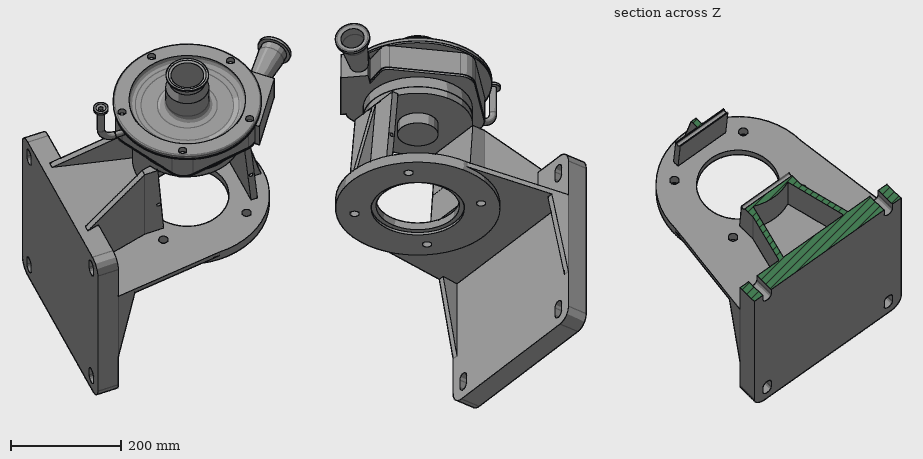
import cadquery as cq
import math


wall_width = 350.0
wall_height = 369.5
wall_thickness = 40.5
wall_front = -250.0
wall_back = wall_front + wall_thickness
wall_corner_radius = 25.5
slot_length = 35.5
slot_width = 19.0
slot_spacing_x = 288.0
slot_spacing_z = 298.5

base_top = 270.0
base_thickness = 10.0
base_bottom = base_top - base_thickness
ring_bottom = 249.5
ring_radius = 149.0
base_hole_radius = 75.5
base_recess_radius = 84.5
base_recess_depth = 5.5
base_bolt_circle_radius = 116.0
base_bolt_radius = 8.5
base_bolt_count = 4
base_bolt_angle = 45
gusset_thickness = 12.0
gusset_length = 34.5
gusset_bottom = 102.0

pillar_top = 435.0
pillar_half_width = 56.5
back_inner_top = 87.0
back_inner_bottom = 101.5
back_thickness = 12.5
back_rib_foot = 143.0
front_inner_top = -82.0
front_inner_bottom = -70.5
rib_start = -108.0
rib_end = -234.5
rib_width = 11.5
rib_splay = 32.0
rib_slope_end = -233.5
rib_shelf_thickness = 11.5
pin_radius = 3.5
pin_height = 339.5
back_pin_y = 101.5
front_pin_y = -80.0

hub_radius = 99.0
collar_radius = 99.5
collar_top = 449.0
shaft_radius = 37.0
shaft_bottom = 412.5
casing_bottom = 471.0
flange_bottom = 522.0
flange_top = 533.5
flange_radius = 134.5
flange_edge_round = 2.5
cover_bottom = 526.0
casing_rim_radius = 134.0
casing_corner_radius = 32.5
spout_corner_radius = 15.0
spout_corner = 1
casing_flat_distance = 114.0
casing_sides = 5
casing_step = 360 / casing_sides
casing_floor_thickness = 4.0
casing_floor_inset = 1.0
first_flat_angle = 9
first_bolt_angle = 45
casing_bolt_circle_radius = 122.0
casing_bolt_radius = 7.0
drill_tip_depth = 4.0

dish_floor = 518.0
dish_floor_radius = 84.0
dish_step_radius = 94.0
dish_step_height = 2.0
dish_rim_radius = 105.5
dish_wall_mid_radius = 102.0
dish_wall_mid_height = 524.0
inlet_radius = 39.0
inlet_flare_radius = 54.0
inlet_shoulder = 568.0
neck_radius = 32.5
neck_bottom = 584.5
ferrule_radius = 38.5
ferrule_edge = 600.0
ferrule_bottom = 596.5
inlet_top = 603.0
inlet_bore_radius = 29.5
inlet_bore_bottom = 476.5
inlet_mouth_radius = 34.5

outlet_angle = 135
outlet_offset = 90.5
outlet_height = 497.5
spout_face = 115.0
spout_inner_offset = 74.0
spout_outer_offset = 123.5
spout_tail_x = 101.5
spout_tail_y = 99.0
outlet_small_radius = 17.5
outlet_large_radius = 25.0
outlet_taper_end = 180.0
outlet_flange_start = 195.0
outlet_end = 201.0
outlet_flange_radius = 31.5
outlet_wall = 3.5
outlet_mouth_radius = 28.5
mouth_depth = 2.0

drain_height = 500.5
drain_y = -170.0
drain_bend_radius = 28.0
drain_radius = 6.5
drain_bore_radius = 4.0
drain_mouth_radius = 9.0
drain_spigot_radius = 5.5
drain_spigot_inner_y = -120.5
drain_flange_radius = 13.0
drain_flange_bottom = 583.0
drain_top = 588.0


def cylinder(radius, bottom, top):
    return cq.Workplane("XY").workplane(offset=bottom).circle(radius).extrude(top - bottom)


def side_prism(points, x_min, x_max):
    """Extrude a (Y, Z) outline along X."""
    return cq.Workplane("YZ").workplane(offset=x_min).polyline(points).close().extrude(x_max - x_min)


def polar(radius, angle):
    return (radius * math.cos(math.radians(angle)), radius * math.sin(math.radians(angle)))


def make_wall_plate():
    plate = (
        cq.Workplane("XY")
        .box(wall_width, wall_thickness, wall_height, centered=(True, False, False))
        .translate((0, wall_front, 0))
        .edges("|Y")
        .fillet(wall_corner_radius)
    )
    slots = (
        cq.Workplane("XZ", origin=(0, wall_back, wall_height / 2))
        .rarray(slot_spacing_x, slot_spacing_z, 2, 2)
        .slot2D(slot_length, slot_width, 90)
        .extrude(wall_thickness)
    )
    return plate.cut(slots)


def make_base():
    half_width = wall_width / 2
    web = (
        cq.Workplane("XY")
        .workplane(offset=base_bottom)
        .polyline([(-ring_radius, 0), (ring_radius, 0), (half_width, wall_back), (-half_width, wall_back)])
        .close()
        .extrude(base_thickness)
    )
    base = cylinder(ring_radius, ring_bottom, base_top).union(web)
    base = base.cut(cylinder(base_hole_radius, ring_bottom, base_top))
    recess_top = ring_bottom + base_recess_depth
    base = base.cut(cylinder(base_recess_radius, ring_bottom, recess_top))
    for bolt in range(base_bolt_count):
        x, y = polar(base_bolt_circle_radius, base_bolt_angle + 360 / base_bolt_count * bolt)
        base = base.cut(cylinder(base_bolt_radius, ring_bottom, base_top).translate((x, y, 0)))

    gusset_tip = wall_back + gusset_length
    gusset_profile = side_prism(
        [(wall_back, base_bottom), (gusset_tip, base_bottom), (wall_back, gusset_bottom)],
        0,
        half_width,
    )
    edge_slope = (half_width - ring_radius) / -wall_back
    tip_half_width = half_width - edge_slope * gusset_length
    gusset_plan = (
        cq.Workplane("XY")
        .polyline(
            [
                (half_width, wall_back),
                (tip_half_width, gusset_tip),
                (tip_half_width - gusset_thickness, gusset_tip),
                (half_width - gusset_thickness, wall_back),
            ]
        )
        .close()
        .extrude(base_bottom)
    )
    gusset = gusset_profile.intersect(gusset_plan)
    return base.union(gusset).union(gusset.mirror("YZ"))


def make_back_pillar():
    leaning_plate = side_prism(
        [
            (back_inner_top, pillar_top),
            (back_inner_top + back_thickness, pillar_top),
            (back_inner_bottom + back_thickness, base_top),
            (back_inner_bottom, base_top),
        ],
        -pillar_half_width,
        pillar_half_width,
    )
    rib = side_prism(
        [
            (back_inner_top + back_thickness, pillar_top),
            (back_rib_foot, base_top),
            (back_inner_bottom, base_top),
            (back_inner_top, pillar_top),
        ],
        -rib_width / 2,
        rib_width / 2,
    )
    return leaning_plate.union(rib)


def make_front_pillar():
    inner_start = pillar_half_width - rib_width
    splay_slope = rib_splay / (rib_start - rib_end)
    inner_root = inner_start - splay_slope * (front_inner_bottom - rib_start)
    cheek = (
        cq.Workplane("XY")
        .workplane(offset=base_top)
        .polyline(
            [
                (pillar_half_width, front_inner_bottom),
                (pillar_half_width, rib_start),
                (pillar_half_width + rib_splay, rib_end),
                (inner_start + rib_splay, rib_end),
                (inner_root, front_inner_bottom),
            ]
        )
        .close()
        .extrude(pillar_top - base_top)
    )
    width = 2 * pillar_half_width
    round_wall = cylinder(collar_radius, base_top, pillar_top).intersect(
        cq.Workplane("XY").box(width, 2 * collar_radius, 2 * pillar_top)
    )
    shelf_half_width = inner_start + splay_slope * (rib_start - wall_back)
    shelf = (
        cq.Workplane("XY")
        .workplane(offset=wall_height - rib_shelf_thickness)
        .polyline(
            [
                (-inner_root, front_inner_bottom),
                (inner_root, front_inner_bottom),
                (shelf_half_width, wall_back),
                (-shelf_half_width, wall_back),
            ]
        )
        .close()
        .extrude(rib_shelf_thickness)
    )
    side_envelope = side_prism(
        [
            (front_inner_bottom, base_top),
            (front_inner_top, pillar_top),
            (rib_start, pillar_top),
            (rib_slope_end, wall_height),
            (rib_slope_end, base_top),
        ],
        -wall_width / 2,
        wall_width / 2,
    )
    pillar = round_wall.union(shelf).union(cheek).union(cheek.mirror("YZ"))
    return pillar.intersect(side_envelope)


def make_pin_holes():
    return (
        cq.Workplane("YZ", origin=(-wall_width / 2, 0, pin_height))
        .pushPoints([(back_pin_y, 0), (front_pin_y, 0)])
        .circle(pin_radius)
        .extrude(wall_width)
    )


def casing_pentagon(flat_distance, bottom, top):
    """Five-sided prism with rounded corners."""
    corner_reach = flat_distance / math.cos(math.pi / casing_sides)
    corners = [
        polar(corner_reach, first_flat_angle + casing_step * (side + 0.5))
        for side in range(casing_sides)
    ]
    prism = cq.Workplane("XY").workplane(offset=bottom)
    prism = prism.polyline(corners).close().extrude(top - bottom)
    corner_x, corner_y = corners[spout_corner]
    tight_edge = cq.selectors.NearestToPointSelector((corner_x, corner_y, (bottom + top) / 2))
    other_edges = cq.selectors.ParallelDirSelector(cq.Vector(0, 0, 1)) - tight_edge
    prism = prism.edges(other_edges).fillet(casing_corner_radius)
    return prism.edges(tight_edge).fillet(spout_corner_radius)


def make_bolt_hole(x, y):
    """Blind drilled hole in the cover rim, with a conical tip."""
    return (
        cq.Workplane("XZ")
        .polyline(
            [
                (0, flange_top),
                (casing_bolt_radius, flange_top),
                (casing_bolt_radius, flange_bottom),
                (0, flange_bottom - drill_tip_depth),
            ]
        )
        .close()
        .revolve(360, (0, 0, 0), (0, 1, 0))
        .translate((x, y, 0))
    )


def make_casing():
    floor_top = casing_bottom + casing_floor_thickness
    casing = casing_pentagon(casing_flat_distance, floor_top, flange_bottom)
    floor = casing_pentagon(casing_flat_distance - casing_floor_inset, casing_bottom, floor_top)
    rim = cylinder(casing_rim_radius, flange_bottom, cover_bottom)
    cover = cylinder(flange_radius, cover_bottom, flange_top).faces(">Z").edges().fillet(flange_edge_round)
    casing = casing.union(floor).union(rim).union(cover)
    for side in range(casing_sides):
        x, y = polar(casing_bolt_circle_radius, first_bolt_angle + casing_step * side)
        casing = casing.cut(make_bolt_hole(x, y))

    hub = cylinder(hub_radius, collar_top, casing_bottom)
    collar = cylinder(collar_radius, pillar_top, collar_top)
    shaft = cylinder(shaft_radius, shaft_bottom, pillar_top)
    return casing.union(hub).union(collar).union(shaft)


def make_dish():
    """Ring-shaped hollow in the cover, with a rounded outer wall."""
    return (
        cq.Workplane("XZ")
        .moveTo(0, flange_top)
        .lineTo(0, dish_floor)
        .lineTo(dish_floor_radius, dish_floor)
        .lineTo(dish_step_radius, dish_floor + dish_step_height)
        .threePointArc((dish_wall_mid_radius, dish_wall_mid_height), (dish_rim_radius, flange_top))
        .close()
        .revolve(360, (0, 0, 0), (0, 1, 0))
    )


def make_inlet():
    flare = inlet_flare_radius - inlet_radius
    flare_mid = flare * (1 - math.sqrt(0.5))
    return (
        cq.Workplane("XZ")
        .moveTo(0, casing_bottom)
        .lineTo(inlet_flare_radius, casing_bottom)
        .lineTo(inlet_flare_radius, dish_floor)
        .threePointArc(
            (inlet_radius + flare_mid, dish_floor + flare_mid),
            (inlet_radius, dish_floor + flare),
        )
        .lineTo(inlet_radius, inlet_shoulder)
        .lineTo(neck_radius, neck_bottom)
        .lineTo(neck_radius, ferrule_bottom)
        .lineTo(ferrule_radius, ferrule_edge)
        .lineTo(ferrule_radius, inlet_top)
        .lineTo(0, inlet_top)
        .close()
        .revolve(360, (0, 0, 0), (0, 1, 0))
    )


def make_mouth(bore_radius, mouth_radius, top):
    """Conical widening at the upper end of a vertical bore."""
    return (
        cq.Workplane("XY")
        .workplane(offset=top - mouth_depth)
        .circle(bore_radius)
        .workplane(offset=mouth_depth)
        .circle(mouth_radius)
        .loft()
    )


def outlet_point(along, offset):
    """Plan position given along the outlet direction and sideways from the pump axis."""
    along_x, along_y = polar(along, outlet_angle)
    side_x, side_y = polar(offset, outlet_angle - 90)
    return (along_x + side_x, along_y + side_y)


def make_spout():
    return (
        cq.Workplane("XY")
        .workplane(offset=casing_bottom)
        .polyline(
            [
                outlet_point(0, spout_inner_offset),
                outlet_point(spout_face, spout_inner_offset),
                outlet_point(spout_face, spout_outer_offset),
                (spout_tail_x, spout_tail_y),
            ]
        )
        .close()
        .extrude(flange_bottom - casing_bottom)
    )


def outlet_revolve(profile):
    """Turn a (radius, distance along the outlet) outline about the outlet axis."""
    axis_x, axis_y = outlet_point(0, outlet_offset)
    normal_x, normal_y = polar(1, outlet_angle + 90)
    plane = cq.Plane(
        origin=(axis_x, axis_y, outlet_height),
        xDir=(0, 0, 1),
        normal=(normal_x, normal_y, 0),
    )
    return cq.Workplane(plane).polyline(profile).close().revolve(360, (0, 0, 0), (0, 1, 0))


def make_outlet_pipe():
    return outlet_revolve(
        [
            (0, spout_face),
            (outlet_small_radius, spout_face),
            (outlet_large_radius, outlet_taper_end),
            (outlet_large_radius, outlet_flange_start),
            (outlet_flange_radius, outlet_flange_start),
            (outlet_flange_radius, outlet_end),
            (0, outlet_end),
        ]
    )


def make_outlet_bore():
    return outlet_revolve(
        [
            (0, spout_face),
            (outlet_small_radius - outlet_wall, spout_face),
            (outlet_large_radius - outlet_wall, outlet_taper_end),
            (outlet_large_radius - outlet_wall, outlet_end - mouth_depth),
            (outlet_mouth_radius, outlet_end),
            (0, outlet_end),
        ]
    )


def make_drain():
    bend_start_y = drain_y + drain_bend_radius
    bend_mid = drain_bend_radius * math.sqrt(0.5)
    path = (
        cq.Workplane("YZ")
        .moveTo(bend_start_y, drain_height)
        .threePointArc(
            (bend_start_y - bend_mid, drain_height + drain_bend_radius - bend_mid),
            (drain_y, drain_height + drain_bend_radius),
        )
        .lineTo(drain_y, drain_top)
    )
    tube = cq.Workplane("XZ", origin=(0, bend_start_y, drain_height))
    tube = tube.circle(drain_radius).circle(drain_bore_radius).sweep(path)

    flange = cylinder(drain_flange_radius, drain_flange_bottom, drain_top)
    bore = cylinder(drain_bore_radius, drain_flange_bottom, drain_top)
    mouth = make_mouth(drain_bore_radius, drain_mouth_radius, drain_top)
    drain = tube.union(flange.translate((0, drain_y, 0)))
    drain = drain.cut(bore.union(mouth).translate((0, drain_y, 0)))

    spigot_length = drain_spigot_inner_y - bend_start_y
    spigot = cq.Workplane("XZ", origin=(0, drain_spigot_inner_y, drain_height))
    spigot = spigot.circle(drain_spigot_radius).extrude(spigot_length)
    return drain.union(spigot)


bracket = make_wall_plate().union(make_base()).union(make_back_pillar()).union(make_front_pillar())
bracket = bracket.cut(make_pin_holes())

pump = make_casing().union(make_spout()).cut(make_dish()).union(make_inlet())
pump = pump.cut(cylinder(inlet_bore_radius, inlet_bore_bottom, inlet_top))
pump = pump.cut(make_mouth(inlet_bore_radius, inlet_mouth_radius, inlet_top))
pump = pump.union(make_outlet_pipe()).cut(make_outlet_bore()).union(make_drain())

result = bracket.union(pump)